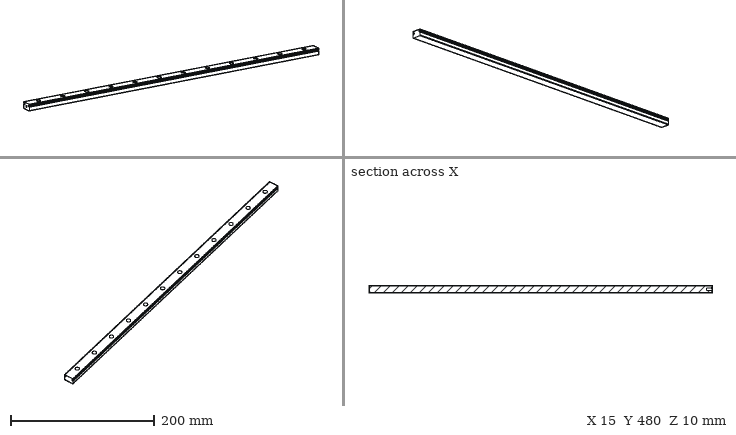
import cadquery as cq

width = 15.0
length = 480.0
height = 10.0

top_chamfer = 0.5
bottom_chamfer = 0.8

groove_center_z = 7.0
groove_mouth = 2.4
groove_depth = 1.0
relief_width = 1.4
relief_depth = 2.2

hole_pitch = 40.0
hole_count = 12
recess_diameter = 6.0
recess_depth = 0.05

end_hole_diameter = 2.5
end_hole_depth = 8.0
end_hole_z = height / 2


def rail_blank():
    """Chamfered rectangular bar, centred on X and Y, base at Z = 0."""
    bar = cq.Workplane("XY").box(width, length, height, centered=(True, True, False))
    bar = bar.edges("|Y and >Z").chamfer(top_chamfer)
    return bar.edges("|Y and <Z").chamfer(bottom_chamfer)


def raceway(side):
    """Groove cutter for one flank; side is +1 for the +X flank and -1 for the -X flank."""
    flank_x = side * width / 2
    lower_z = groove_center_z - groove_mouth / 2
    upper_z = groove_center_z + groove_mouth / 2
    groove = (
        cq.Workplane("XZ")
        .moveTo(flank_x, lower_z)
        .threePointArc((flank_x - side * groove_depth, groove_center_z), (flank_x, upper_z))
        .close()
        .extrude(length / 2, both=True)
    )
    relief = (
        cq.Workplane("XY")
        .box(2 * relief_depth, length, relief_width)
        .translate((flank_x, 0, groove_center_z))
    )
    return groove.union(relief)


def recesses():
    """Cutters for the row of recesses along the top centreline."""
    first_y = -hole_pitch * (hole_count - 1) / 2
    centers = [(0, first_y + i * hole_pitch) for i in range(hole_count)]
    return (
        cq.Workplane("XY", origin=(0, 0, height))
        .pushPoints(centers)
        .circle(recess_diameter / 2)
        .extrude(-recess_depth)
    )


def end_hole():
    """Cutter for the blind hole along Y in the -Y end face."""
    return (
        cq.Workplane("XZ", origin=(0, -length / 2, end_hole_z))
        .circle(end_hole_diameter / 2)
        .extrude(-end_hole_depth)
    )


result = rail_blank()
for side in (-1, 1):
    result = result.cut(raceway(side))
result = result.cut(recesses()).cut(end_hole())